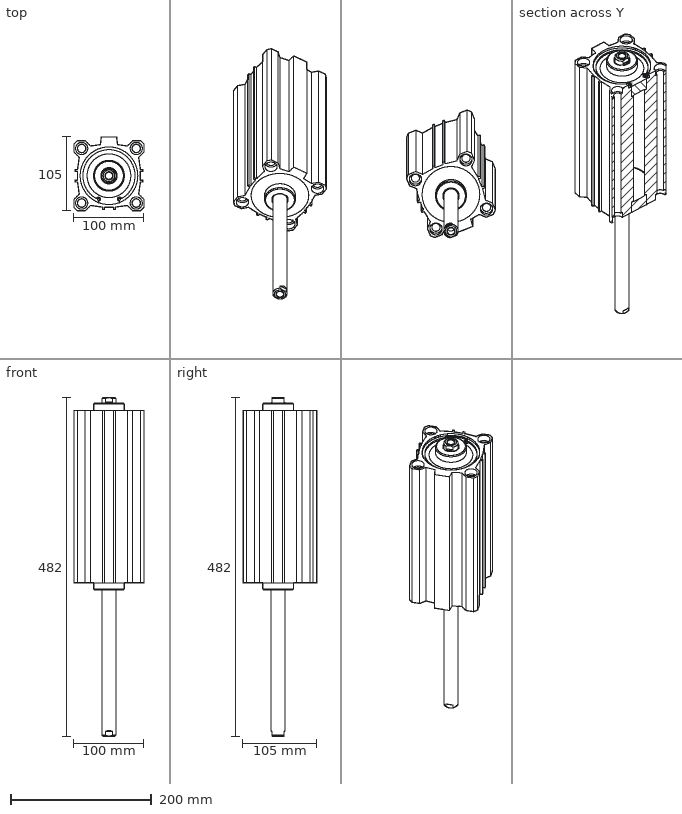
import cadquery as cq
import math

barrel_length = 245.5
collar_height = 10.0
rod_top_projection = 8.0
overall_length = 482.0
rod_top = barrel_length + collar_height + rod_top_projection
rod_bottom = rod_top - overall_length

barrel_width = 100.0
half_width = barrel_width / 2
ear_chamfer = 5.0
ear_inner = 33.5
wall_edge = 42.5
wall_middle = 45.0
wall_start = ear_inner - (half_width - wall_edge)
rail_inner = 6.5
rail_width = 3.0
rail_outer = rail_inner + rail_width
rail_tip = 48.0
overall_depth = 105.0
tab_reach = overall_depth - half_width
tab_base_width = 25.0
tab_tip_width = 22.0
tab_root = wall_edge

bore_diameter = 80.0
seat_diameter = 82.0
groove_diameter = 86.0
mount_spacing = 77.5
mount_hole_diameter = 11.5
mount_counterbore_diameter = 17.5
mount_counterbore_depth = 9.5

ring_inner_diameter = 74.0
ring_thickness = 2.5
ring_recess = 3.5
lug_x = 15.0
lug_y = -33.3
lug_diameter = 6.0
lug_hole_diameter = 3.0

cover_thickness = 19.5
cover_recess = ring_recess + ring_thickness
cone_diameter = 62.0
cone_height = 4.5
collar_diameter = 44.0
collar_chamfer = 1.5
seal_diameter = 23.0
seal_depth = 2.5

rod_diameter = 20.2
rod_chamfer = 2.0
flat_width = 17.5
flat_length = 6.7
thread_hole_diameter = 10.0
thread_mouth_diameter = 11.5
thread_hole_depth = 21.5
drill_tip_angle = 118.0


def disc(diameter, bottom, top):
    """Cylinder on the rod axis between two heights."""
    return cq.Workplane("XY").workplane(offset=bottom).circle(diameter / 2).extrude(top - bottom)


def prism(points):
    """Outline in XY extruded over the barrel length."""
    return cq.Workplane("XY").polyline(points).close().extrude(barrel_length)


def barrel_core():
    """Four-eared section: one quarter turn of its outline, repeated around the axis."""
    ear_edge = half_width - ear_chamfer
    side = [
        (half_width, -ear_edge),
        (half_width, -ear_inner),
        (wall_edge, -wall_start),
        (wall_middle, -rail_outer),
        (wall_middle, rail_outer),
        (wall_edge, wall_start),
        (half_width, ear_inner),
        (half_width, ear_edge),
    ]
    outline = []
    for _ in range(4):
        outline += side
        side = [(-y, x) for x, y in side]
    return prism(outline)


def sensor_rails():
    """A pair of rails on the -X, -Y and +X walls."""
    rails = cq.Workplane("XY")
    for angle in (180, 270, 0):
        for low in (rail_inner, -rail_outer):
            rail = prism([
                (wall_edge, low),
                (rail_tip, low),
                (rail_tip, low + rail_width),
                (wall_edge, low + rail_width),
            ])
            rails = rails.add(rail.rotate((0, 0, 0), (0, 0, 1), angle))
    return rails.combine()


def port_tab():
    """Tapered rib on the +Y wall."""
    return prism([
        (-tab_base_width / 2, tab_root),
        (tab_base_width / 2, tab_root),
        (tab_tip_width / 2, tab_reach),
        (-tab_tip_width / 2, tab_reach),
    ])


def mounting_holes():
    """Through holes in the ears, counterbored at both ends."""
    centres = cq.Workplane("XY").rect(mount_spacing, mount_spacing, forConstruction=True).vertices()
    holes = centres.circle(mount_hole_diameter / 2).extrude(barrel_length)
    for bottom in (0, barrel_length - mount_counterbore_depth):
        counterbores = (
            cq.Workplane("XY").workplane(offset=bottom)
            .rect(mount_spacing, mount_spacing, forConstruction=True).vertices()
            .circle(mount_counterbore_diameter / 2).extrude(mount_counterbore_depth)
        )
        holes = holes.union(counterbores)
    return holes


def make_barrel():
    barrel = barrel_core().union(sensor_rails()).union(port_tab()).cut(mounting_holes())
    barrel = barrel.cut(disc(bore_diameter, 0, barrel_length))
    barrel = barrel.cut(disc(seat_diameter, 0, cover_thickness))
    upper_seat = barrel_length - cover_recess - cover_thickness
    barrel = barrel.cut(disc(seat_diameter, upper_seat, barrel_length))
    groove_bottom = barrel_length - cover_recess
    return barrel.cut(disc(groove_diameter, groove_bottom, groove_bottom + ring_thickness))


def make_ring():
    """Open retaining ring with a drilled lug at each end of its gap."""
    bottom = barrel_length - cover_recess
    top = bottom + ring_thickness
    ring = disc(groove_diameter, bottom, top).cut(disc(ring_inner_diameter, bottom, top))
    gap_depth = groove_diameter / 2
    gap = (
        cq.Workplane("XY").workplane(offset=bottom).center(0, -gap_depth / 2)
        .rect(2 * lug_x, gap_depth).extrude(ring_thickness)
    )
    lug_plane = cq.Workplane("XY").workplane(offset=bottom).pushPoints([(-lug_x, lug_y), (lug_x, lug_y)])
    lugs = lug_plane.circle(lug_diameter / 2).extrude(ring_thickness)
    lug_holes = lug_plane.circle(lug_hole_diameter / 2).extrude(ring_thickness)
    return ring.cut(gap).union(lugs).cut(lug_holes)


def collar(base, direction):
    """Pilot collar that projects from a barrel end."""
    blank = cq.Workplane("XY").workplane(offset=base).circle(collar_diameter / 2)
    blank = blank.extrude(direction * collar_height)
    return blank.faces(">Z" if direction > 0 else "<Z").chamfer(collar_chamfer)


def rod_passage(collar_end, direction):
    """Rod hole through a cover, with the seal recess in the end of its collar."""
    recess = cq.Workplane("XY").workplane(offset=collar_end).circle(seal_diameter / 2)
    recess = recess.extrude(-direction * seal_depth)
    return disc(rod_diameter, rod_bottom, rod_top).union(recess)


def make_upper_cover():
    """Recessed disc with a cone rising to the collar."""
    face = barrel_length - cover_recess
    cover = disc(seat_diameter, face - cover_thickness, face)
    cone = (
        cq.Workplane("XY").workplane(offset=face).circle(cone_diameter / 2)
        .workplane(offset=cone_height).circle(collar_diameter / 2).loft()
    )
    collar_foot = disc(collar_diameter, face, barrel_length)
    cover = cover.union(cone).union(collar_foot).union(collar(barrel_length, 1))
    return cover.cut(rod_passage(barrel_length + collar_height, 1))


def make_lower_cover():
    """Disc flush with the barrel end, with its collar below."""
    cover = disc(seat_diameter, 0, cover_thickness).union(collar(0, -1))
    return cover.cut(rod_passage(-collar_height, -1))


def thread_hole():
    """Blind hole from Z = 0 downward, with a chamfered mouth and a drill tip."""
    radius = thread_hole_diameter / 2
    mouth_radius = thread_mouth_diameter / 2
    tip_length = radius / math.tan(math.radians(drill_tip_angle / 2))
    return (
        cq.Workplane("XZ")
        .polyline([
            (0, 0),
            (mouth_radius, 0),
            (radius, radius - mouth_radius),
            (radius, -thread_hole_depth),
            (0, -thread_hole_depth - tip_length),
        ])
        .close()
        .revolve(360, (0, 0, 0), (0, 1, 0))
    )


def wrench_flats():
    """Two flats down from Z = 0, each ending in a 45 degree shoulder."""
    depth = flat_width / 2
    outside = rod_diameter
    flat = (
        cq.Workplane("YZ")
        .polyline([
            (depth, 0),
            (outside, 0),
            (outside, -flat_length - (outside - depth)),
            (depth, -flat_length),
        ])
        .close()
        .extrude(rod_diameter, both=True)
    )
    return flat.union(flat.mirror("XZ"))


def make_rod():
    """Through rod, machined alike at both ends."""
    rod = disc(rod_diameter, rod_bottom, rod_top).faces("<Z or >Z").chamfer(rod_chamfer)
    end_cuts = thread_hole().union(wrench_flats())
    rod = rod.cut(end_cuts.translate((0, 0, rod_top)))
    return rod.cut(end_cuts.mirror("XY").translate((0, 0, rod_bottom)))


barrel = make_barrel()
upper_cover = make_upper_cover()
lower_cover = make_lower_cover()
retaining_ring = make_ring()
rod = make_rod()

result = cq.Compound.makeCompound([
    barrel.val(),
    upper_cover.val(),
    lower_cover.val(),
    retaining_ring.val(),
    rod.val(),
])